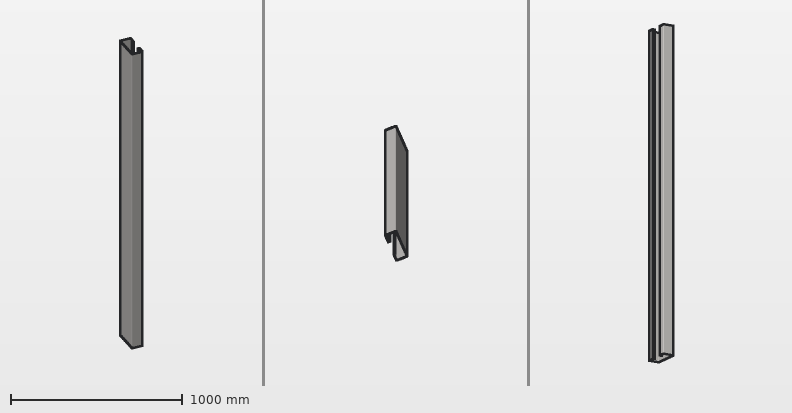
import cadquery as cq

length = 2000.0
width = 170.0
depth = 70.0

wall = 3.0
outer_radius = 5.0
inner_radius = outer_radius - wall

slot_width = 75.0
lip_height = 15.0


def box_along_z(x_size, y_size, x_center, y_center):
    """Full-length rectangular bar centred on the given point."""
    return cq.Workplane("XY").center(x_center, y_center).rect(x_size, y_size).extrude(length)


def make_tube():
    """Closed rectangular tube with rounded bends."""
    outside = box_along_z(width, depth, 0, 0).edges("|Z").fillet(outer_radius)
    inside = box_along_z(width - 2 * wall, depth - 2 * wall, 0, 0).edges("|Z").fillet(inner_radius)
    return outside.cut(inside)


def make_lip(side):
    """Lip turned inward at the slot edge; side is -1 or +1."""
    x_center = side * (slot_width + wall) / 2
    return box_along_z(wall, lip_height, x_center, (depth - lip_height) / 2)


slot = box_along_z(slot_width, depth / 2, 0, depth / 2)
result = make_tube().cut(slot)
for side in (-1, 1):
    result = result.union(make_lip(side))